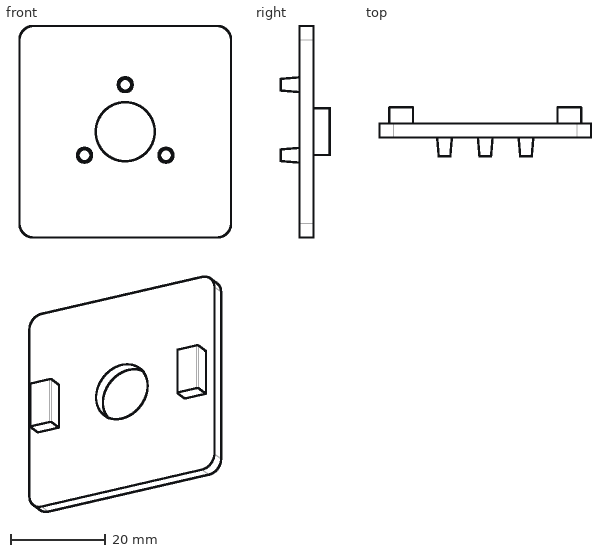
import cadquery as cq
import math

plate_side = 45.0
plate_thickness = 3.0
corner_radius = 3.0
bore_diameter = 12.5

pin_count = 3
pin_circle_radius = 10.0
pin_base_diameter = 3.2
pin_tip_diameter = 2.5
pin_length = 4.0
first_pin_angle = 90.0

lug_width = 5.15
lug_depth = 3.45
lug_height = 10.0
lug_offset = 17.85
lug_edge_radius = 0.3


def make_plate():
    blank = cq.Workplane("XY").box(
        plate_side, plate_thickness, plate_side, centered=(True, False, True)
    )
    rounded = blank.edges("|Y").fillet(corner_radius)
    return rounded.faces("<Y").workplane(centerOption="CenterOfBoundBox").hole(bore_diameter)


def make_pin(angle):
    x = pin_circle_radius * math.cos(math.radians(angle))
    z = pin_circle_radius * math.sin(math.radians(angle))
    pin = cq.Solid.makeCone(
        pin_base_diameter / 2,
        pin_tip_diameter / 2,
        pin_length,
        pnt=cq.Vector(x, 0, z),
        dir=cq.Vector(0, -1, 0),
    )
    return cq.Workplane(obj=pin)


def make_lug(x):
    block = cq.Workplane("XY").box(lug_width, lug_depth, lug_height, centered=(True, False, True))
    rounded = block.faces(">Y").edges("|Z").fillet(lug_edge_radius)
    return rounded.translate((x, plate_thickness, 0))


result = make_plate()
for index in range(pin_count):
    result = result.union(make_pin(first_pin_angle + index * 360 / pin_count))
for side in (-1, 1):
    result = result.union(make_lug(side * lug_offset))